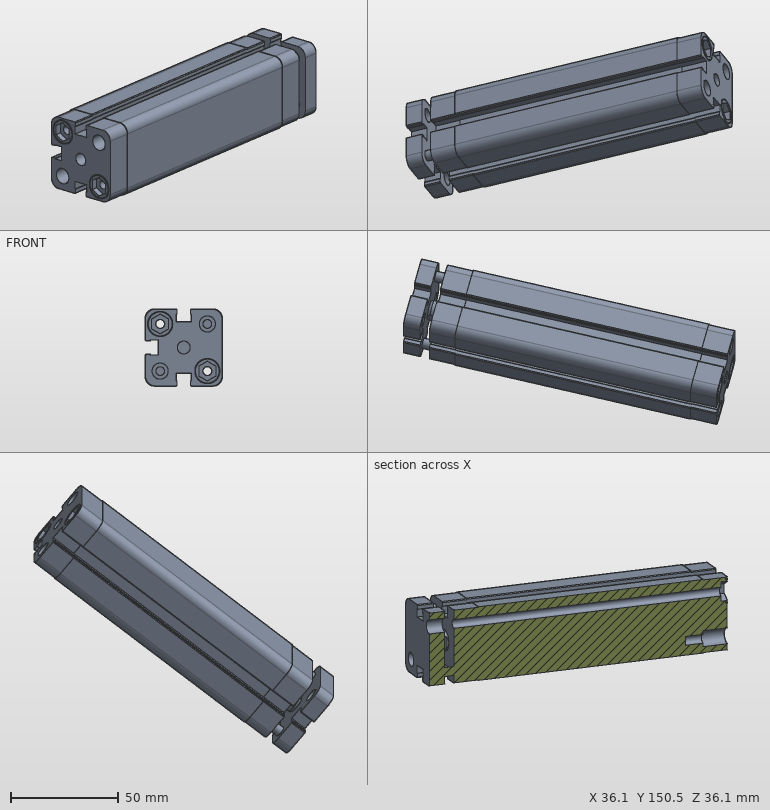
import cadquery as cq
import math

length = 150.5
width = 36.1
half = width / 2

plate_thickness = 8.0
gap = 4.5
cap_length = 12.3
y_front = -length / 2
y_back = length / 2
y_plate = y_back - plate_thickness
y_cap_back = y_plate - gap
y_body_back = y_cap_back - cap_length
y_body_front = y_front + cap_length

corner_radius = 4.5
end_inset = 0.23
slot_mouth = 6.2
slot_width = 6.9
slot_depth = 6.0
lip_thickness = 2.3
mouth_chamfer = 0.5

hole_offset = 11.0
through_diameter = 4.0
mount_diameter = 7.5
mount_depth = 12.3
mount_pilot_depth = 21.0
center_diameter = 6.0
center_depth = 12.3
screw_bore_diameter = 11.7
screw_head_diameter = 11.1
screw_ring_depth = 0.8
socket_flats = 8.0
socket_depth = 3.2
plate_hole_diameter = 6.6

pin_diameter = 5.0
pin_offset = 11.9
rod_diameter = 10.0
rod_flats = 8.0
rod_chamfer_length = 1.4
rod_chamfer_width = 0.8

socket_corner_diameter = socket_flats / math.cos(math.pi / 6)

screw_corners = [(-hole_offset, hole_offset), (hole_offset, -hole_offset)]
mount_corners = [(hole_offset, hole_offset), (-hole_offset, -hole_offset)]
pin_corners = [(pin_offset, pin_offset), (-pin_offset, -pin_offset)]


def section_plane(y):
    """Sketch plane across the part at y: local x is X, local y is Z, extrusion goes toward -Y."""
    return cq.Workplane("XZ", origin=(0, y, 0))


def rods(points, diameter, y_start, y_end):
    """Round rods along Y at the given X, Z points."""
    return section_plane(y_end).pushPoints(points).circle(diameter / 2).extrude(y_end - y_start)


def slot(surface):
    """Undercut slot, open toward +Z at the given height, with chamfered mouth edges."""
    mouth = slot_mouth / 2
    inner = slot_width / 2
    neck = surface - lip_thickness
    floor = surface - slot_depth
    right_side = [
        (inner, floor),
        (inner, neck),
        (mouth, neck),
        (mouth, surface - mouth_chamfer),
        (mouth + mouth_chamfer, surface),
    ]
    left_side = [(-x, z) for x, z in reversed(right_side)]
    return section_plane(y_back).polyline(right_side + left_side).close().extrude(length)


def block(y_start, y_end, inset=0.0):
    """Square block with rounded long edges and slots in its -X, +Z and -Z sides."""
    size = width - 2 * inset
    solid = section_plane(y_end).rect(size, size).extrude(y_end - y_start)
    solid = solid.edges("|Y").fillet(corner_radius)
    for angle in (0, -90, 180):
        solid = solid.cut(slot(half - inset).rotate((0, 0, 0), (0, 1, 0), angle))
    return solid


def piston_rod():
    """Chamfered rod with two wrench flats that run out at 45 degrees next to the cap."""
    rod = rods([(0, 0)], rod_diameter, y_cap_back, y_plate)
    rod = rod.faces(">Y").chamfer(rod_chamfer_length, rod_chamfer_width)
    side = rod_diameter / 2
    flat = rod_flats / 2
    runout = side - flat
    for sign in (1, -1):
        cutter = (
            cq.Workplane("XY")
            .moveTo(sign * side, y_cap_back)
            .lineTo(sign * flat, y_cap_back + runout)
            .lineTo(sign * flat, y_plate)
            .lineTo(sign * side, y_plate)
            .close()
            .extrude(rod_diameter, both=True)
        )
        rod = rod.cut(cutter)
    return rod


result = block(y_plate, y_back, end_inset)
result = result.union(block(y_body_back, y_cap_back, end_inset))
result = result.union(block(y_body_front, y_body_back))
result = result.union(block(y_front, y_body_front, end_inset))
result = result.union(rods(pin_corners, pin_diameter, y_cap_back, y_plate))
result = result.union(piston_rod())

result = result.cut(rods([(0, 0)], center_diameter, y_front, y_front + center_depth))
result = result.cut(rods(mount_corners, mount_diameter, y_front, y_front + mount_depth))
result = result.cut(rods(mount_corners, through_diameter, y_front, y_front + mount_pilot_depth))

result = result.cut(rods(screw_corners, through_diameter, y_front, y_back))
ring = rods(screw_corners, screw_bore_diameter, y_front, y_front + screw_ring_depth)
ring = ring.cut(rods(screw_corners, screw_head_diameter, y_front, y_front + screw_ring_depth))
result = result.cut(ring)

socket = (
    section_plane(y_front + socket_depth)
    .transformed(rotate=(0, 0, 90))
    .pushPoints([(z, -x) for x, z in screw_corners])
    .polygon(6, socket_corner_diameter)
    .extrude(socket_depth)
)
result = result.cut(socket)

result = result.cut(rods(screw_corners, plate_hole_diameter, y_plate, y_back))